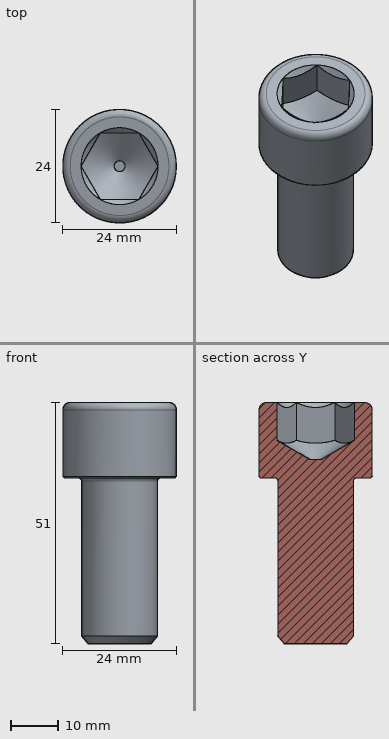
import cadquery as cq
import math

total_length = 51.0
head_diameter = 24.0
head_height = 16.0
head_top_fillet = 1.6
head_bottom_chamfer = 0.4

shank_diameter = head_height
shank_length = total_length - head_height
neck_fillet = 0.6
tip_chamfer_height = 1.65
tip_chamfer_width = 1.4

socket_across_flats = 14.1
socket_across_corners = socket_across_flats / math.cos(math.pi / 6)
socket_depth = 8.0
socket_floor_diameter = 2.3
socket_cone_angle = 120.0
mouth_cone_angle = 90.0


def make_head():
    head = cq.Workplane("XY").circle(head_diameter / 2).extrude(head_height)
    head = head.faces(">Z").edges().fillet(head_top_fillet)
    return head.faces("<Z").edges().chamfer(head_bottom_chamfer)


def make_shank():
    """Shank with a concave fillet under the head and a chamfered tip."""
    radius = shank_diameter / 2
    arc_offset = neck_fillet * (1 - math.sqrt(0.5))
    return (
        cq.Workplane("XZ")
        .lineTo(radius + neck_fillet, 0)
        .threePointArc((radius + arc_offset, -arc_offset), (radius, -neck_fillet))
        .lineTo(radius, tip_chamfer_height - shank_length)
        .lineTo(radius - tip_chamfer_width, -shank_length)
        .lineTo(0, -shank_length)
        .close()
        .revolve(360, (0, 0), (0, 1))
    )


def make_socket():
    """Hexagonal recess with corners on X, a conical floor and a conical mouth."""
    mouth_radius = socket_across_corners / 2
    floor_radius = socket_floor_diameter / 2
    floor_slope = 1 / math.tan(math.radians(socket_cone_angle / 2))
    cone_depth = (mouth_radius - floor_radius) * floor_slope
    mouth_depth = mouth_radius / math.tan(math.radians(mouth_cone_angle / 2))
    floor_start = head_height - socket_depth

    hexagon = (
        cq.Workplane("XY")
        .workplane(offset=floor_start - cone_depth)
        .polygon(6, socket_across_corners)
        .extrude(socket_depth + cone_depth)
    )
    drilled_hole = (
        cq.Workplane("XZ")
        .moveTo(0, floor_start - cone_depth)
        .lineTo(floor_radius, floor_start - cone_depth)
        .lineTo(mouth_radius, floor_start)
        .lineTo(mouth_radius, head_height)
        .lineTo(0, head_height)
        .close()
        .revolve(360, (0, 0), (0, 1))
    )
    mouth_cone = (
        cq.Workplane("XZ")
        .moveTo(0, head_height)
        .lineTo(mouth_radius, head_height)
        .lineTo(0, head_height - mouth_depth)
        .close()
        .revolve(360, (0, 0), (0, 1))
    )
    return hexagon.intersect(drilled_hole).union(mouth_cone)


result = make_head().union(make_shank()).cut(make_socket())